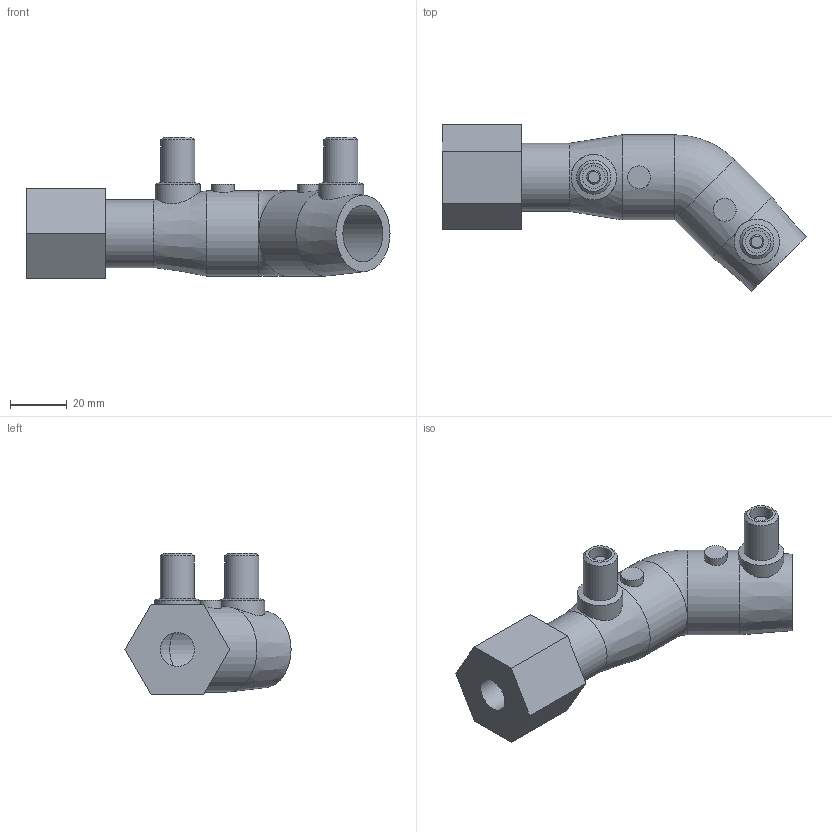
import cadquery as cq
import math

nut_length = 28.0
nut_across_flats = 32.0
nut_bore_diameter = 12.0
nut_sides = 6

neck_end = 45.0
neck_diameter = 24.0
body_diameter = 30.0
outlet_diameter = 27.0
bore_diameter = 20.0
section_length = 18.5

bend_angle = 45.0
bend_inner_radius = 0.01
bend_radius = body_diameter / 2 + bend_inner_radius

port_top = 34.0
shoulder_top = 17.4
port_diameter = 12.0
port_chamfer = 1.0
collar_diameter = 16.0
cone_height = 0.6
socket_diameter = 8.0
socket_depth = 4.5
pin_diameter = 5.0
pin_height = 2.1
pin_chamfer = 0.5
button_diameter = 8.0

inlet_port_offset = 10.0
port_to_button = 16.0
outlet_port_offset = 11.0

taper_end = neck_end + section_length
bend_start = taper_end + section_length
outlet_length = 2 * section_length
bend_sine = math.sin(math.radians(bend_angle))
bend_cosine = math.cos(math.radians(bend_angle))


def outlet_point(distance):
    """Plan position on the outlet axis, measured from the end of the bend."""
    x = bend_start + bend_radius * bend_sine + distance * bend_cosine
    y = -bend_radius + bend_radius * bend_cosine - distance * bend_sine
    return x, y


def outlet_plane(distance):
    """Plane square to the outlet axis, facing the outlet."""
    x, y = outlet_point(distance)
    return cq.Plane(origin=(x, y, 0), xDir=(0, 0, 1), normal=(bend_cosine, -bend_sine, 0))


def inlet_plane(distance):
    """Plane square to the inlet axis, facing the bend."""
    return cq.Plane(origin=(distance, 0, 0), xDir=(0, 1, 0), normal=(1, 0, 0))


def cylinder(plane, diameter, length):
    return cq.Workplane(plane).circle(diameter / 2).extrude(length)


def cone(plane, start_diameter, end_diameter, length):
    start = cq.Workplane(plane).circle(start_diameter / 2)
    return start.workplane(offset=length).circle(end_diameter / 2).loft(ruled=True)


def bend(diameter):
    """Elbow turning from +X towards -Y about a vertical axis."""
    profile = cq.Workplane(inlet_plane(bend_start)).circle(diameter / 2)
    return profile.revolve(bend_angle, (-bend_radius, 0), (-bend_radius, -1))


def make_nut():
    corner_diameter = nut_across_flats / math.cos(math.pi / nut_sides)
    return cq.Workplane(inlet_plane(0)).polygon(nut_sides, corner_diameter).extrude(nut_length)


def make_outer_run():
    neck = cylinder(inlet_plane(nut_length), neck_diameter, neck_end - nut_length)
    taper = cone(inlet_plane(neck_end), neck_diameter, body_diameter, section_length)
    straight = cylinder(inlet_plane(taper_end), body_diameter, section_length)
    outlet = cylinder(outlet_plane(0), body_diameter, section_length)
    outlet_taper = cone(outlet_plane(section_length), body_diameter, outlet_diameter, section_length)
    run = make_nut().union(neck).union(taper).union(straight)
    return run.union(bend(body_diameter)).union(outlet).union(outlet_taper)


def make_bore():
    nut_bore = cylinder(inlet_plane(0), nut_bore_diameter, nut_length)
    inlet_bore = cylinder(inlet_plane(nut_length), bore_diameter, bend_start - nut_length)
    outlet_bore = cylinder(outlet_plane(0), bore_diameter, outlet_length)
    return nut_bore.union(inlet_bore).union(bend(bore_diameter)).union(outlet_bore)


def make_post(x, y, diameter, top):
    """Round post from the run axis up to the given height."""
    return cq.Workplane("XY").center(x, y).circle(diameter / 2).extrude(top)


def make_port(x, y):
    """Test port: collar with a coned top, tube with a socket, and a pin in the socket."""
    collar = make_post(x, y, collar_diameter, shoulder_top)
    shoulder_plane = cq.Plane(origin=(x, y, shoulder_top))
    shoulder = cone(shoulder_plane, collar_diameter, port_diameter, cone_height)
    tube = make_post(x, y, port_diameter, port_top).faces(">Z").chamfer(port_chamfer)
    socket_floor = cq.Plane(origin=(x, y, port_top - socket_depth))
    socket = cylinder(socket_floor, socket_diameter, socket_depth)
    pin = cylinder(socket_floor, pin_diameter, pin_height).faces(">Z").chamfer(pin_chamfer)
    return collar.union(shoulder).union(tube).cut(socket).union(pin)


inlet_port_x = taper_end - inlet_port_offset
outlet_port_distance = outlet_length - outlet_port_offset
port_positions = [(inlet_port_x, 0), outlet_point(outlet_port_distance)]
button_positions = [
    (inlet_port_x + port_to_button, 0),
    outlet_point(outlet_port_distance - port_to_button),
]

result = make_outer_run()
for port_x, port_y in port_positions:
    result = result.union(make_port(port_x, port_y))
for button_x, button_y in button_positions:
    result = result.union(make_post(button_x, button_y, button_diameter, shoulder_top))
result = result.cut(make_bore())